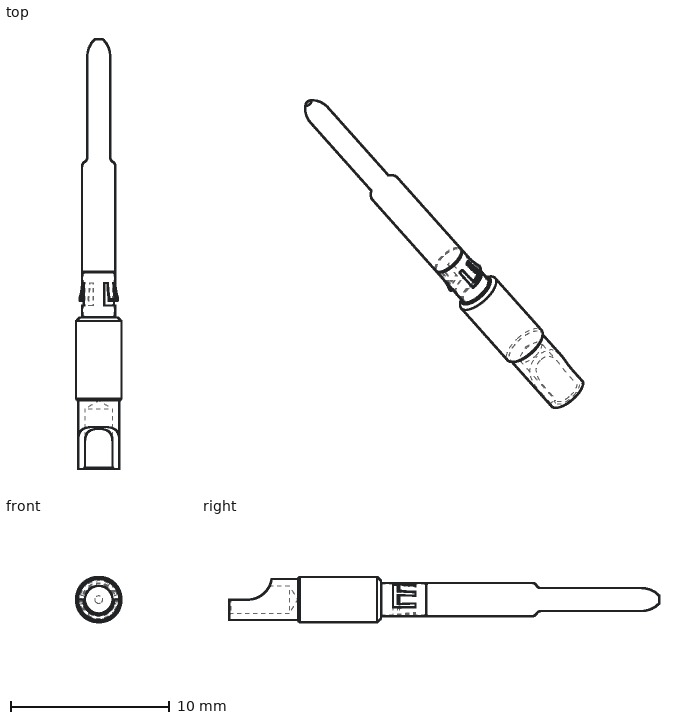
import cadquery as cq
import math


length = 27.1
tip_y = length / 2
cup_y = -length / 2
neck_y = 6.1
barrel_y = 5.53
groove_front_y = -1.1
collar_y = -3.98
collar_end_y = -9.21

tip_flat_r = 0.25
shaft_r = 0.73
barrel_r = 1.05
collar_r = 1.44
cup_r = 1.3
tip_round_r = 2 * shaft_r

collar_chamfer = 0.25
collar_rear_chamfer = 0.1

bore_r = 0.87
bore_depth = 3.8
drill_point_angle = 118.0
mouth_chamfer = 0.1
cutaway_r = 1.52
cutaway_flat = 1.17

sheet = 0.08
front_gap = 0.05
rear_gap = 0.03
groove_r = barrel_r - sheet

window_front_y = -1.82
window_rear_y = -3.22
window_count = 2
fingers_per_window = 2
finger_angle = 28.0
finger_gap_angle = finger_angle / 2
window_start_angle = -finger_angle / 2 - finger_gap_angle
finger_pitch = finger_angle + finger_gap_angle
window_angle = fingers_per_window * finger_pitch + finger_gap_angle
finger_crest_y = -2.82
finger_end_y = -2.95
finger_rise = 0.15
finger_end_drop = 0.03


def spin(profile, angle=360.0):
    """Revolve a closed profile, drawn as (radius, y), about the Y axis."""
    return profile.close().revolve(angle, (0, 0, 0), (0, 1, 0))


def ring_sector(profile, start_angle, angle):
    """Revolve a profile over an angle counted from +X toward +Z."""
    return spin(profile, angle).rotate((0, 0, 0), (0, 1, 0), -(start_angle + angle))


def make_pin_body():
    arc_center_r = shaft_r - tip_round_r
    tip_sweep = math.acos((tip_flat_r - arc_center_r) / tip_round_r)
    tip_base_y = tip_y - tip_round_r * math.sin(tip_sweep)
    tip_mid_point = (
        arc_center_r + tip_round_r * math.cos(tip_sweep / 2),
        tip_base_y + tip_round_r * math.sin(tip_sweep / 2),
    )
    step_middle = ((shaft_r + barrel_r) / 2, (neck_y + barrel_y) / 2)

    profile = (
        cq.Workplane("XY")
        .moveTo(0, tip_y)
        .lineTo(tip_flat_r, tip_y)
        .threePointArc(tip_mid_point, (shaft_r, tip_base_y))
        .lineTo(shaft_r, neck_y)
        .tangentArcPoint(step_middle, relative=False)
        .tangentArcPoint((barrel_r, barrel_y), relative=False)
        .lineTo(barrel_r, groove_front_y)
        .lineTo(groove_r, groove_front_y)
        .lineTo(groove_r, collar_y)
        .lineTo(collar_r - collar_chamfer, collar_y)
        .lineTo(collar_r, collar_y - collar_chamfer)
        .lineTo(collar_r, collar_end_y + collar_rear_chamfer)
        .lineTo(collar_r - collar_rear_chamfer, collar_end_y)
        .lineTo(cup_r, collar_end_y)
        .lineTo(cup_r, cup_y)
        .lineTo(0, cup_y)
    )
    return spin(profile)


def make_cup_bore():
    bore_end_y = cup_y + bore_depth
    drill_point = bore_r / math.tan(math.radians(drill_point_angle / 2))
    profile = (
        cq.Workplane("XY")
        .moveTo(0, cup_y)
        .lineTo(bore_r + mouth_chamfer, cup_y)
        .lineTo(bore_r, cup_y + mouth_chamfer)
        .lineTo(bore_r, bore_end_y)
        .lineTo(0, bore_end_y + drill_point)
    )
    return spin(profile)


def make_cup_cutaway():
    """Remove the upper half of the cup; a quarter round leads up to full height."""
    flat_end_y = cup_y + cutaway_flat
    round_mid_point = (
        flat_end_y + cutaway_r * math.sin(math.pi / 4),
        cutaway_r * (1 - math.cos(math.pi / 4)),
    )
    return (
        cq.Workplane("YZ")
        .moveTo(cup_y, 0)
        .lineTo(flat_end_y, 0)
        .threePointArc(round_mid_point, (flat_end_y + cutaway_r, cutaway_r))
        .lineTo(cup_y, cutaway_r)
        .close()
        .extrude(cup_r, both=True)
    )


def make_window(start_angle):
    profile = (
        cq.Workplane("XY")
        .moveTo(groove_r - sheet, window_front_y)
        .lineTo(barrel_r + sheet, window_front_y)
        .lineTo(barrel_r + sheet, window_rear_y)
        .lineTo(groove_r - sheet, window_rear_y)
    )
    return ring_sector(profile, start_angle, window_angle)


def make_finger(start_angle):
    """A tongue of sheet, rooted at the window's front edge and bent outward."""
    bend_run = window_front_y - finger_crest_y
    half_sweep = math.atan(finger_rise / bend_run)
    bend_r = bend_run / math.sin(2 * half_sweep)
    bend_mid_rise = bend_r * (1 - math.cos(half_sweep))
    bend_mid_y = window_front_y - bend_r * math.sin(half_sweep)
    end_rise = finger_rise - finger_end_drop

    profile = (
        cq.Workplane("XY")
        .moveTo(barrel_r, window_front_y)
        .threePointArc((barrel_r + bend_mid_rise, bend_mid_y), (barrel_r + finger_rise, finger_crest_y))
        .lineTo(barrel_r + end_rise, finger_end_y)
        .lineTo(groove_r + end_rise, finger_end_y)
        .lineTo(groove_r + finger_rise, finger_crest_y)
        .threePointArc((groove_r + bend_mid_rise, bend_mid_y), (groove_r, window_front_y))
    )
    return ring_sector(profile, start_angle, finger_angle)


def make_sleeve():
    sleeve = spin(
        cq.Workplane("XY")
        .moveTo(groove_r, groove_front_y - front_gap)
        .lineTo(barrel_r, groove_front_y - front_gap)
        .lineTo(barrel_r, collar_y + rear_gap)
        .lineTo(groove_r, collar_y + rear_gap)
    )
    for window in range(window_count):
        window_start = window_start_angle + window * 360.0 / window_count
        sleeve = sleeve.cut(make_window(window_start))
        for finger in range(fingers_per_window):
            finger_start = window_start + finger_gap_angle + finger * finger_pitch
            sleeve = sleeve.union(make_finger(finger_start))
    return sleeve


pin = make_pin_body().cut(make_cup_bore()).cut(make_cup_cutaway())
spring_sleeve = make_sleeve()

result = cq.Compound.makeCompound([*pin.solids().vals(), *spring_sleeve.solids().vals()])